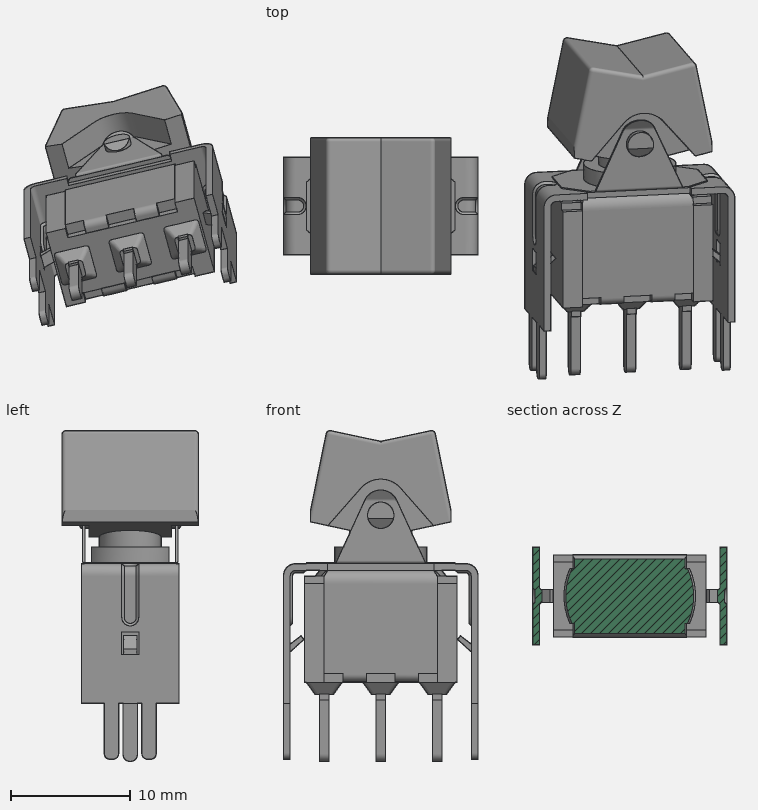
import cadquery as cq
import math


frame_length = 16.26
frame_width = 8.16
frame_sheet = 0.57
frame_bend = 1.02
frame_leg_bottom = -11.67
waist_half_length = 4.43
waist_width = 6.86
tail_width = 1.22
tail_pitch = 3.14
tail_bottom = -16.35
tail_corner = 0.5
half_frame = frame_length / 2

groove_half_mouth = 0.71
groove_half_floor = 0.5
groove_depth = 0.2
groove_lower_end = -5.2
groove_inner_end = 6.23

window_width = 1.42
window_top = -5.7
window_bottom = -7.58
tab_width = 1.1
tab_root_overlap = 0.2
tab_setback = 0.04
tab_bend_z = -7.38
tab_outer_bend_z = -7.12
tab_tip_low = (-6.41, -6.33)
tab_tip_high = (-6.66, -6.02)

body_length = 12.76
body_width = 6.86
body_top = -1.05
body_bottom = -9.92
ledge_z = -1.65
ledge_depth = 0.6
panel_length = 9.44
panel_width = 6.94
panel_bottom = -9.17
panel_top_round = 1.1
shoulder_cut = (panel_length / 2 - waist_half_length, -frame_sheet - body_top)
foot_recess = 0.9
collar_base_radius = 5.5
collar_top_radius = 5.1
collar_width = 4.6
clip_center = 2.17
clip_length = 1.97
clip_bottom = -9.86
clip_round = 0.57

pin_pitch = 4.72
pin_thickness = 0.8
pin_width = 1.22
pin_tip_round = 0.6
pin_bottom = -16.53
pin_shoulder_width = 1.6
pin_shoulder_bottom = -11.38
seal_height = 1.03
seal_base = 3.0
seal_tip = 1.5
seal_round = 0.35

flange_diameter = 7.72
flange_flats = 6.5
flange_top = 1.4
neck_diameter = 5.2

plate_top = 0.1
plate_half_length = 6.22
plate_straight_half = 1.97
plate_shoulder = (4.2, 3.8)
ear_inner = 3.76
ear_outer = 4.0
ear_base_half = 3.72
ear_top_half = 1.33
flare_start = 5.3
flare_angle = math.radians(30)
flare_bend = 0.4
ear_top = 6.15
foot_bend = 0.23

rocker_width = 11.43
rocker_half_base = 5.87
rocker_half_top = 4.5
rocker_peak = 11.18
rocker_valley = 10.22
rocker_knee = 4.45
rocker_skirt = 3.48
rocker_keel = 2.21
rocker_round = 0.35
hub_width = 6.92
arch_apex = 7.06
arch_radius = 2.2
arch_start = 4.42

pivot_diameter = 2.2
pivot_z = 4.04
pivot_end = 4.6
pivot_toe = 4.1
pivot_bevel_z = 3.76


def box(length, width, z_low, z_high, x=0, y=0):
    """Box centred on (x, y) that spans z_low to z_high."""
    return cq.Workplane("XY", origin=(x, y, z_low)).rect(length, width).extrude(z_high - z_low)


def extrude_along_y(points, width):
    """Closed XZ outline extruded to both sides of the XZ plane."""
    return cq.Workplane("XZ").polyline(points).close().extrude(width / 2, both=True)


def extrude_along_x(points, length):
    """Closed YZ outline extruded to both sides of the YZ plane."""
    return cq.Workplane("YZ").polyline(points).close().extrude(length / 2, both=True)


def both_ends(solid):
    """The solid together with its copy at the opposite X end."""
    return solid.union(solid.mirror("YZ"))


def both_sides(solid):
    """The solid together with its copy on the opposite Y side."""
    return solid.union(solid.mirror("XZ"))


def pressing(inset):
    """Tapered groove-shaped solid around the -X frame bend, starting `inset` below the outer skin."""
    into_leg = (1, 0, 0)
    into_top = (0, 0, -1)
    floor = inset + groove_depth
    bend_x = -half_frame + frame_bend
    bend_z = -frame_bend
    side_end = groove_lower_end + groove_half_mouth
    top_end = -groove_inner_end - groove_half_mouth

    def section(inward, along, origin):
        return (
            cq.Workplane(cq.Plane(origin, xDir=inward, normal=along))
            .moveTo(inset, -groove_half_mouth)
            .lineTo(inset, groove_half_mouth)
            .lineTo(floor, groove_half_floor)
            .lineTo(floor, -groove_half_floor)
            .close()
        )

    def rounded_end(point, inward):
        start = cq.Vector(*point) + cq.Vector(*inward) * inset
        return cq.Workplane(
            cq.Solid.makeCone(groove_half_mouth, groove_half_floor, groove_depth, start, cq.Vector(*inward))
        )

    upright = section(into_leg, into_top, (-half_frame, 0, bend_z)).extrude(bend_z - side_end)
    flat = section(into_top, into_leg, (bend_x, 0, 0)).extrude(top_end - bend_x)
    corner = section(into_leg, into_top, (-half_frame, 0, bend_z)).revolve(
        90, (frame_bend, 0, 0), (frame_bend, -1, 0)
    )
    groove = upright.union(flat).union(corner)
    groove = groove.union(rounded_end((-half_frame, 0, side_end), into_leg))
    return groove.union(rounded_end((top_end, 0, 0), into_top))


def make_frame():
    outer = box(frame_length, frame_width, tail_bottom, 0).edges("|Y and >Z").fillet(frame_bend)
    inner = box(frame_length - 2 * frame_sheet, frame_width, tail_bottom, -frame_sheet)
    inner = inner.edges("|Y and >Z").fillet(frame_bend - frame_sheet)
    frame = outer.cut(inner)

    tails = box(frame_length, tail_width, tail_bottom, frame_leg_bottom, y=tail_pitch / 2)
    tails = both_sides(tails.edges("|X and <Z").fillet(tail_corner))
    frame = frame.cut(box(frame_length, frame_width, tail_bottom, frame_leg_bottom).cut(tails))

    waist = box(2 * waist_half_length, frame_width, -frame_sheet, 0)
    frame = frame.cut(waist.cut(box(2 * waist_half_length, waist_width, -frame_sheet, 0)))

    frame = frame.union(both_ends(pressing(frame_sheet)))
    frame = frame.cut(both_ends(pressing(0)))
    return frame.cut(box(frame_length, window_width, window_bottom, window_top)).union(make_tabs())


def make_tabs():
    """Tongues bent inward from the leg windows and up, ending just short of the housing."""
    leg_inside = -half_frame + frame_sheet
    tab_outside = -half_frame + tab_setback
    root_z = window_bottom - tab_root_overlap
    tab = extrude_along_y(
        [
            (tab_outside, root_z),
            (leg_inside, root_z),
            (leg_inside, tab_bend_z),
            tab_tip_low,
            tab_tip_high,
            (tab_outside, tab_outer_bend_z),
        ],
        tab_width,
    )
    return both_ends(tab)


def make_body():
    panel_high = -frame_sheet
    body = box(body_length, body_width, body_bottom, ledge_z)
    body = body.union(box(body_length, body_width - 2 * ledge_depth, ledge_z, body_top))

    middle = box(panel_length, panel_width, body_bottom, panel_high)
    middle = middle.edges("|X and >Z").fillet(panel_top_round)
    end_x = panel_length / 2
    taper = extrude_along_y(
        [
            (end_x, panel_high),
            (end_x - shoulder_cut[0], panel_high),
            (end_x, panel_high - shoulder_cut[1]),
        ],
        panel_width,
    )
    body = body.union(middle.cut(both_ends(taper)))

    collar_height = panel_high - body_top
    collar_base = cq.Vector(0, 0, body_top)
    collar = cq.Workplane(
        cq.Solid.makeCone(collar_base_radius, collar_top_radius, collar_height, collar_base)
    )
    body = body.union(collar.intersect(box(body_length, collar_width, body_top, panel_high)))

    recess = box(panel_length, foot_recess, body_bottom, panel_bottom, y=(panel_width - foot_recess) / 2)
    return body.cut(both_sides(recess)).union(make_clips())


def make_clips():
    """Rounded clips that stand below the middle panels, at the foot of the housing."""
    clip_y = (foot_recess - panel_width) / 2
    clip = box(clip_length, foot_recess, clip_bottom, panel_bottom, clip_center, clip_y)
    clip = clip.edges("|X and <Z and <Y").fillet(clip_round)
    return both_sides(both_ends(clip))


def make_pin(x):
    pin = box(pin_thickness, pin_width, pin_bottom, body_bottom, x)
    pin = pin.edges("|X and <Z").fillet(pin_tip_round)
    shoulder = box(pin_thickness, pin_shoulder_width, pin_shoulder_bottom, body_bottom, x)
    seal = (
        cq.Workplane("XY", origin=(x, 0, body_bottom - seal_height))
        .rect(seal_tip, seal_tip)
        .workplane(offset=seal_height)
        .rect(seal_base, seal_base)
        .loft()
        .edges("not (|X or |Y)")
        .fillet(seal_round)
    )
    return pin.union(shoulder).union(seal)


def make_bushing():
    flange = cq.Workplane("XY").circle(flange_diameter / 2).extrude(flange_top)
    flange = flange.intersect(box(flange_diameter, flange_flats, 0, flange_top))
    neck = cq.Workplane("XY").circle(neck_diameter / 2).extrude(rocker_skirt)
    return flange.union(neck)


def make_bracket():
    shoulder_x, shoulder_y = plate_shoulder
    quarter = [(plate_half_length, plate_straight_half), (shoulder_x, shoulder_y)]
    outline = quarter + [(-x, y) for x, y in reversed(quarter)]
    outline += [(-x, -y) for x, y in outline]
    plate = cq.Workplane("XY").polyline(outline).close().extrude(plate_top)

    lean = (ear_top - flare_start) * math.tan(flare_angle)
    strip = extrude_along_x(
        [
            (-ear_inner, 0),
            (-ear_outer, 0),
            (-ear_outer, flare_start),
            (-ear_outer - lean, ear_top),
            (-ear_inner - lean, ear_top),
            (-ear_inner, flare_start),
        ],
        2 * ear_base_half,
    )
    strip = strip.faces("<Z").edges("<Y").fillet(foot_bend)
    bend_line = cq.selectors.NearestToPointSelector((0, -ear_outer, flare_start))
    strip = strip.edges("|X").edges(bend_line).fillet(flare_bend)
    ear_reach = ear_outer + lean
    outline = (
        cq.Workplane("XZ")
        .moveTo(-ear_base_half, 0)
        .lineTo(ear_base_half, 0)
        .lineTo(ear_base_half, plate_top)
        .lineTo(ear_top_half, flare_start)
        .threePointArc((0, ear_top), (-ear_top_half, flare_start))
        .lineTo(-ear_base_half, plate_top)
        .close()
        .extrude(ear_reach)
    )
    return plate.union(both_sides(strip.intersect(outline)))


def make_rocker():
    right_half = [
        (rocker_half_base, rocker_skirt),
        (rocker_half_base, rocker_knee),
        (rocker_half_top, rocker_peak),
    ]
    left_half = [(-x, z) for x, z in reversed(right_half)]
    rocker = extrude_along_y(
        [(0, rocker_keel)] + right_half + [(0, rocker_valley)] + left_half,
        rocker_width,
    )
    rocker = rocker.edges("|Y and >Z").fillet(rocker_round)
    rim_zone = cq.selectors.BoxSelector(
        (-rocker_half_base, -rocker_width, rocker_knee),
        (rocker_half_base, rocker_width, rocker_peak),
    )
    rocker = rocker.faces("<Y or >Y").edges(rim_zone).fillet(rocker_round)
    return rocker.cut(both_sides(make_arch())).union(both_sides(make_pivot()))


def make_arch():
    """Arched pocket in the -Y end of the rocker, leaving the narrower hub."""
    center_z = arch_apex - arch_radius
    start_z = rocker_keel + (rocker_skirt - rocker_keel) * arch_start / rocker_half_base
    drop = center_z - start_z
    slope = math.atan2(drop, arch_start) + math.asin(arch_radius / math.hypot(arch_start, drop))
    tangent_x = arch_radius * math.sin(slope)
    tangent_z = center_z + arch_radius * math.cos(slope)
    depth = (rocker_width - hub_width) / 2
    return (
        cq.Workplane("XZ", origin=(0, -hub_width / 2, 0))
        .moveTo(arch_start, start_z)
        .lineTo(tangent_x, tangent_z)
        .threePointArc((0, arch_apex), (-tangent_x, tangent_z))
        .lineTo(-arch_start, start_z)
        .lineTo(-arch_start, 0)
        .lineTo(arch_start, 0)
        .close()
        .extrude(depth)
    )


def make_pivot():
    """Stud on the -Y hub face; the lower part of its end is bevelled for snapping in."""
    stud = cq.Workplane("XZ").center(0, pivot_z).circle(pivot_diameter / 2).extrude(pivot_end)
    stud_bottom = pivot_z - pivot_diameter / 2
    bevel = extrude_along_x(
        [
            (-pivot_end, pivot_bevel_z),
            (-pivot_toe, stud_bottom),
            (-pivot_end, stud_bottom),
        ],
        pivot_diameter,
    )
    return stud.cut(bevel)


result = make_frame().union(make_body())
for pin_index in (-1, 0, 1):
    result = result.union(make_pin(pin_index * pin_pitch))
result = result.union(make_bushing()).union(make_bracket()).union(make_rocker())